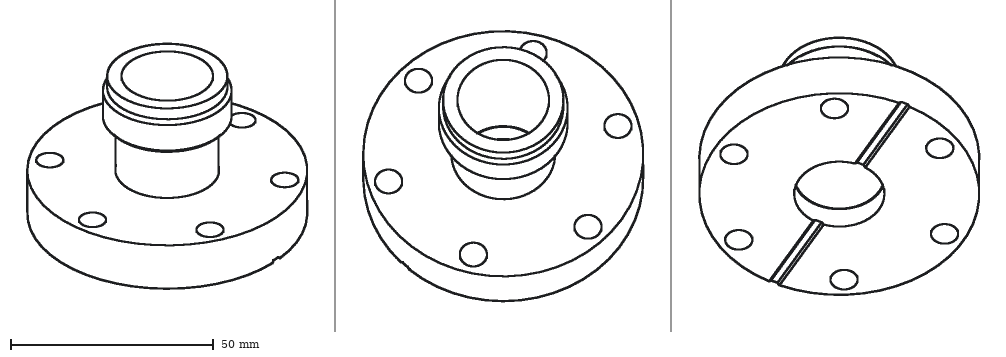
import cadquery as cq

flange_diameter = 69.1
flange_thickness = 12.7
flange_bore_diameter = 22.25

bolt_hole_count = 6
bolt_hole_diameter = 6.7
bolt_circle_diameter = 58.65
first_bolt_angle = 90.0

socket_diameter = 25.6
socket_depth = flange_thickness / 2
socket_floor_z = flange_thickness - socket_depth

groove_mouth_width = 2.9
groove_roof_width = 1.8
groove_depth = 0.6

overall_height = 40.2
tube_diameter = 25.4
tube_bore_diameter = 22.6
collar_diameter = 31.8
lip_diameter = 29.7
lip_height = 3.2
collar_height = 9.5
collar_chamfer = (collar_diameter - lip_diameter) / 2
collar_top_z = overall_height - lip_height
collar_bottom_z = collar_top_z - collar_height


def cylinder(diameter, bottom_z, top_z):
    """Upright cylinder on the Z axis between two heights."""
    return (
        cq.Workplane("XY", origin=(0, 0, bottom_z))
        .circle(diameter / 2)
        .extrude(top_z - bottom_z)
    )


def make_bolt_holes():
    return (
        cq.Workplane("XY")
        .polarArray(bolt_circle_diameter / 2, first_bolt_angle, 360, bolt_hole_count)
        .circle(bolt_hole_diameter / 2)
        .extrude(flange_thickness)
    )


def make_groove():
    return (
        cq.Workplane("YZ")
        .polyline([
            (-groove_mouth_width / 2, 0),
            (groove_mouth_width / 2, 0),
            (groove_roof_width / 2, groove_depth),
            (-groove_roof_width / 2, groove_depth),
        ])
        .close()
        .extrude(flange_diameter / 2, both=True)
    )


def make_flange():
    disc = cylinder(flange_diameter, 0, flange_thickness)
    bore = cylinder(flange_bore_diameter, 0, flange_thickness)
    socket = cylinder(socket_diameter, socket_floor_z, flange_thickness)
    return disc.cut(bore).cut(socket).cut(make_bolt_holes()).cut(make_groove())


def make_collared_tube():
    tube = cylinder(tube_diameter, socket_floor_z, overall_height)
    collar = cylinder(collar_diameter, collar_bottom_z, collar_top_z).edges("%CIRCLE").chamfer(collar_chamfer)
    lip = cylinder(lip_diameter, collar_top_z, overall_height)
    bore = cylinder(tube_bore_diameter, socket_floor_z, overall_height)
    return tube.union(collar).union(lip).cut(bore)


flange = make_flange()
collared_tube = make_collared_tube()

result = cq.Compound.makeCompound([*flange.solids().vals(), *collared_tube.solids().vals()])